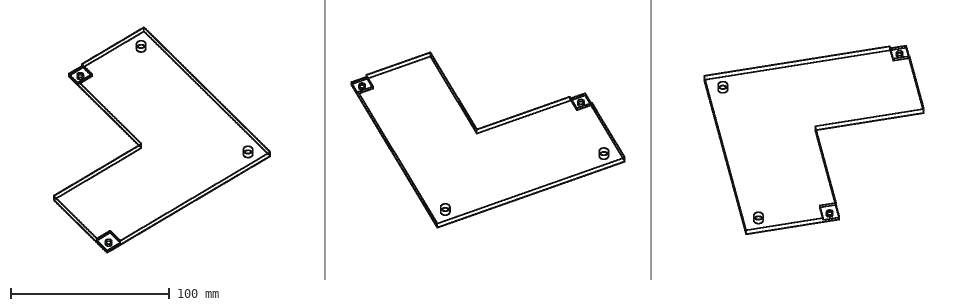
import cadquery as cq

side = 130.0
thickness = 4.0

back_leg_width = 60.0
right_leg_width = 55.0

mount_hole_diameter = 6.0
mount_hole_inset = 10.0

recess_side = 10.5
recess_depth = 2.0
recess_hole_diameter = 4.0
recess_hole_inset = recess_side / 2

back_leg_front = side - back_leg_width
right_leg_left = side - right_leg_width


def hole(x, y, diameter):
    """Cylinder through the full thickness at (x, y)."""
    return cq.Workplane("XY").center(x, y).circle(diameter / 2).extrude(thickness)


def recess(x, y):
    """Square block, cut from the top face, with its low corner at (x, y)."""
    return (
        cq.Workplane("XY", origin=(x, y, thickness - recess_depth))
        .rect(recess_side, recess_side, centered=False)
        .extrude(recess_depth)
    )


result = (
    cq.Workplane("XY")
    .moveTo(0, back_leg_front)
    .lineTo(right_leg_left, back_leg_front)
    .lineTo(right_leg_left, 0)
    .lineTo(side, 0)
    .lineTo(side, side)
    .lineTo(0, side)
    .close()
    .extrude(thickness)
)

for x in (mount_hole_inset, side - mount_hole_inset):
    result = result.cut(hole(x, side - mount_hole_inset, mount_hole_diameter))

result = result.cut(recess(0, back_leg_front))
result = result.cut(
    hole(recess_hole_inset, back_leg_front + recess_hole_inset, recess_hole_diameter)
)
result = result.cut(recess(side - recess_side, 0))
result = result.cut(hole(side - recess_hole_inset, recess_hole_inset, recess_hole_diameter))